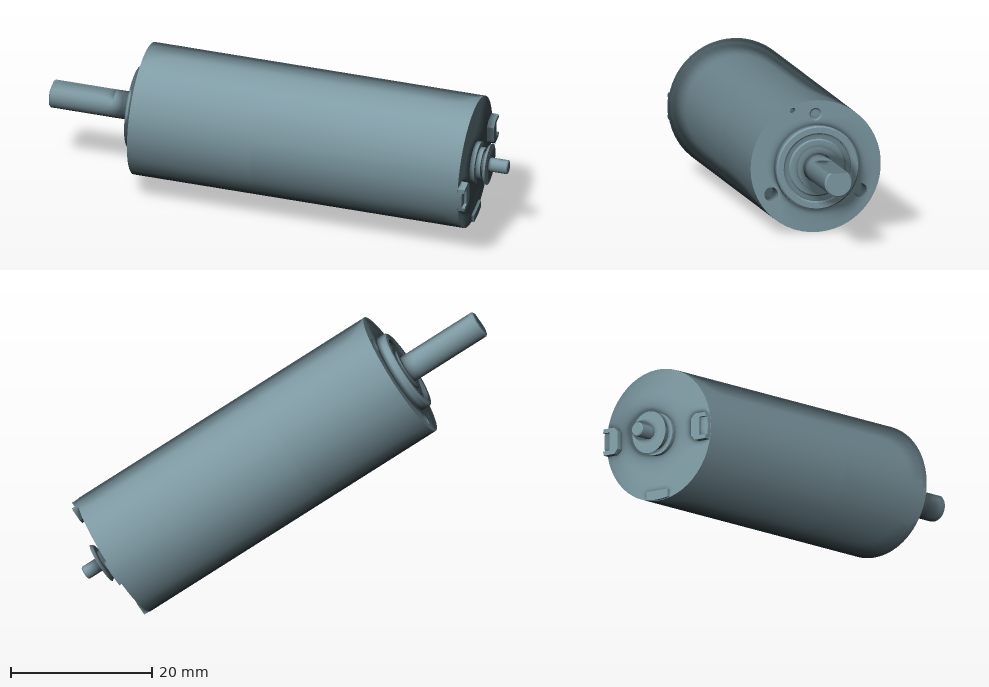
import cadquery as cq
import math

TOTAL_LENGTH = 66.85

BODY_DIAMETER = 19.0
GEARBOX_LENGTH = 18.1
PILOT_DIAMETER = 12.0
PILOT_HEIGHT = 1.4
PILOT_CHAMFER = 0.2
RECESS_DIAMETER = 9.6
RECESS_DEPTH = 0.55
RECESS_CHAMFER = 0.2
MOUNT_HOLE_DIAMETER = 2.0
MOUNT_HOLE_DEPTH = 3.35
MOUNT_CIRCLE_RADIUS = 7.5
MOUNT_ANGLES = (-150, -30)
VENT_DIAMETER = 0.8
VENT_DEPTH = 1.35
VENT_Y = 3.35
VENT_Z = 8.15

PLUG_DIAMETER = 1.8
PLUG_LENGTH = 3.35
DISH_FLOOR_DIAMETER = 1.35
DISH_DEPTH = 0.3

BEARING_DIAMETER = 8.3
BEARING_FACE_DEPTH = 0.3
BEARING_CHAMFER = 0.2
BEARING_LIP_DIAMETER = 6.0
BEARING_BORE = 4.3
BEARING_SEAT_DEPTH = 2.7
BEARING_END = BEARING_SEAT_DEPTH - PILOT_HEIGHT

SHAFT_DIAMETER = 4.0
SHAFT_REACH = 13.5
SHAFT_CHAMFER = 0.2
SHAFT_SEAT_DEPTH = 2.7
FLAT_LENGTH = 9.3
FLAT_HEIGHT = 1.5

REAR_REACH = 4.95
MOTOR_END = TOTAL_LENGTH - SHAFT_REACH - REAR_REACH
REAR_BOSS_DIAMETER = 6.0
REAR_BOSS_HEIGHT = 0.4
RIM_RADIUS = 9.4
RIM_WIDTH = 3.8
TAB_HEIGHT = 0.4
TAB_INNER_Z = 8.1

BUSHING_RIM_END = 0.7
BUSHING_NECK_DIAMETER = 4.55
BUSHING_END = 1.35
COLLAR_HUB_DIAMETER = 3.5
COLLAR_HUB_END = 1.8
COLLAR_FLARE_START_DIAMETER = 5.4
COLLAR_FLARE_END_DIAMETER = 6.0
COLLAR_END = 2.2
REAR_SHAFT_DIAMETER = 2.0
REAR_SHAFT_CHAMFER = 0.15
REAR_SHAFT_DEPTH = 3.35

TERMINAL_HEIGHT = 1.0
TERMINAL_INNER_Y = 6.7
TERMINAL_CHAMFER = 0.7
NOTCH_WIDTH = 2.6
NOTCH_DEPTH = 0.4
NOTCH_FLOOR_Y = 8.15


def rod(start, end, diameter, y=0.0, z=0.0):
    """Cylinder along X between two X positions."""
    return cq.Workplane("YZ", origin=(start, y, z)).circle(diameter / 2).extrude(end - start)


def cone(start, end, start_diameter, end_diameter, y=0.0, z=0.0):
    """Cone or frustum along X between two X positions."""
    return cq.Workplane(cq.Solid.makeCone(
        start_diameter / 2, end_diameter / 2, end - start,
        pnt=cq.Vector(start, y, z), dir=cq.Vector(1, 0, 0),
    ))


def block(x_range, y_range, z_range):
    """Box between the given limits."""
    (x0, x1), (y0, y1), (z0, z1) = x_range, y_range, z_range
    return cq.Workplane("XY").box(x1 - x0, y1 - y0, z1 - z0, centered=False).translate((x0, y0, z0))


def make_bearing():
    """Output bearing: a chamfered disc with a raised lip around its bore."""
    face = BEARING_FACE_DEPTH - PILOT_HEIGHT
    bearing = rod(face, BEARING_END, BEARING_DIAMETER)
    bearing = bearing.faces("<X").chamfer(BEARING_CHAMFER)
    lip = rod(-PILOT_HEIGHT, face, BEARING_LIP_DIAMETER)
    bore = rod(-PILOT_HEIGHT, BEARING_END, BEARING_BORE)
    return bearing.union(lip).cut(bore)


def make_output_shaft():
    """Output shaft with a flat on its +Z side."""
    shaft = rod(-SHAFT_REACH, BEARING_END + SHAFT_SEAT_DEPTH, SHAFT_DIAMETER)
    shaft = shaft.faces("<X").chamfer(SHAFT_CHAMFER)
    flat = block(
        (-SHAFT_REACH, FLAT_LENGTH - SHAFT_REACH),
        (-SHAFT_DIAMETER, SHAFT_DIAMETER),
        (FLAT_HEIGHT, SHAFT_DIAMETER),
    )
    return shaft.cut(flat)


def make_plug():
    """Flush plug with a conical dish in its face."""
    plug = rod(0, PLUG_LENGTH, PLUG_DIAMETER, z=MOUNT_CIRCLE_RADIUS)
    dish = cone(0, DISH_DEPTH, PLUG_DIAMETER, DISH_FLOOR_DIAMETER, z=MOUNT_CIRCLE_RADIUS)
    return plug.cut(dish)


def make_gearbox():
    """Gearbox housing with its pilot, shaft and bearing seats, mounting holes and vent."""
    pilot = rod(-PILOT_HEIGHT, 0, PILOT_DIAMETER).faces("<X").chamfer(PILOT_CHAMFER)
    gearbox = rod(0, GEARBOX_LENGTH, BODY_DIAMETER).union(pilot)
    recess = rod(-PILOT_HEIGHT, RECESS_DEPTH - PILOT_HEIGHT, RECESS_DIAMETER)
    recess_mouth = cone(
        -PILOT_HEIGHT, RECESS_CHAMFER - PILOT_HEIGHT,
        RECESS_DIAMETER + 2 * RECESS_CHAMFER, RECESS_DIAMETER,
    )
    gearbox = gearbox.cut(recess).cut(recess_mouth)
    gearbox = gearbox.cut(rod(-PILOT_HEIGHT, BEARING_END, BEARING_DIAMETER))
    gearbox = gearbox.cut(rod(BEARING_END, BEARING_END + SHAFT_SEAT_DEPTH, SHAFT_DIAMETER))
    gearbox = gearbox.cut(rod(0, PLUG_LENGTH, PLUG_DIAMETER, z=MOUNT_CIRCLE_RADIUS))
    for angle in MOUNT_ANGLES:
        y = MOUNT_CIRCLE_RADIUS * math.cos(math.radians(angle))
        z = MOUNT_CIRCLE_RADIUS * math.sin(math.radians(angle))
        gearbox = gearbox.cut(rod(0, MOUNT_HOLE_DEPTH, MOUNT_HOLE_DIAMETER, y, z))
    vent = rod(0, VENT_DEPTH, VENT_DIAMETER, VENT_Y, VENT_Z)
    vent_tip = cone(VENT_DEPTH, VENT_DEPTH + VENT_DIAMETER / 2, VENT_DIAMETER, 0, VENT_Y, VENT_Z)
    return gearbox.cut(vent).cut(vent_tip)


def make_motor():
    """Motor can with its rear boss, locating tab and rear shaft bore."""
    boss_end = MOTOR_END + REAR_BOSS_HEIGHT
    motor = rod(GEARBOX_LENGTH, MOTOR_END, BODY_DIAMETER)
    motor = motor.union(rod(MOTOR_END, boss_end, REAR_BOSS_DIAMETER))
    tab = block(
        (MOTOR_END, MOTOR_END + TAB_HEIGHT),
        (-RIM_WIDTH / 2, RIM_WIDTH / 2),
        (-RIM_RADIUS, -TAB_INNER_Z),
    )
    tab = tab.intersect(rod(MOTOR_END, MOTOR_END + TAB_HEIGHT, 2 * RIM_RADIUS))
    bore = rod(MOTOR_END - REAR_SHAFT_DEPTH, boss_end, REAR_SHAFT_DIAMETER)
    return motor.union(tab).cut(bore)


def make_rear_bushing():
    """Bushing on the rear boss: a rim and a narrower neck."""
    start = MOTOR_END + REAR_BOSS_HEIGHT
    rim = rod(start, MOTOR_END + BUSHING_RIM_END, REAR_BOSS_DIAMETER)
    neck = rod(start, MOTOR_END + BUSHING_END, BUSHING_NECK_DIAMETER)
    bore = rod(start, MOTOR_END + BUSHING_END, REAR_SHAFT_DIAMETER)
    return rim.union(neck).cut(bore)


def make_rear_collar():
    """Collar with a flared flange on the rear shaft, outside the bushing."""
    start = MOTOR_END + BUSHING_END
    hub = rod(start, MOTOR_END + COLLAR_HUB_END, COLLAR_HUB_DIAMETER)
    flange = cone(
        MOTOR_END + COLLAR_HUB_END, MOTOR_END + COLLAR_END,
        COLLAR_FLARE_START_DIAMETER, COLLAR_FLARE_END_DIAMETER,
    )
    bore = rod(start, MOTOR_END + COLLAR_END, REAR_SHAFT_DIAMETER)
    return hub.union(flange).cut(bore)


def make_rear_shaft():
    """Rear shaft end with a chamfered tip."""
    shaft = rod(MOTOR_END - REAR_SHAFT_DEPTH, MOTOR_END + REAR_REACH, REAR_SHAFT_DIAMETER)
    return shaft.faces(">X").chamfer(REAR_SHAFT_CHAMFER)


def make_terminal(side):
    """Notched terminal at the rim of the motor; side is +1 for +Y and -1 for -Y."""
    top = MOTOR_END + TERMINAL_HEIGHT
    half_width = RIM_WIDTH / 2
    body = block(
        (MOTOR_END, top),
        (TERMINAL_INNER_Y, RIM_RADIUS),
        (-half_width, half_width),
    )
    body = body.faces("<Y").edges("|X").chamfer(TERMINAL_CHAMFER)
    body = body.intersect(rod(MOTOR_END, top, 2 * RIM_RADIUS))
    notch = block(
        (top - NOTCH_DEPTH, top),
        (NOTCH_FLOOR_Y, RIM_RADIUS),
        (-NOTCH_WIDTH / 2, NOTCH_WIDTH / 2),
    )
    body = body.cut(notch)
    return body if side > 0 else body.mirror("XZ")


gearbox = make_gearbox()
bearing = make_bearing()
output_shaft = make_output_shaft()
plug = make_plug()
motor = make_motor()
rear_bushing = make_rear_bushing()
rear_collar = make_rear_collar()
rear_shaft = make_rear_shaft()
terminals = [make_terminal(side) for side in (1, -1)]

result = cq.Compound.makeCompound([
    gearbox.val(),
    bearing.val(),
    output_shaft.val(),
    plug.val(),
    motor.val(),
    rear_bushing.val(),
    rear_collar.val(),
    rear_shaft.val(),
    *[terminal.val() for terminal in terminals],
])